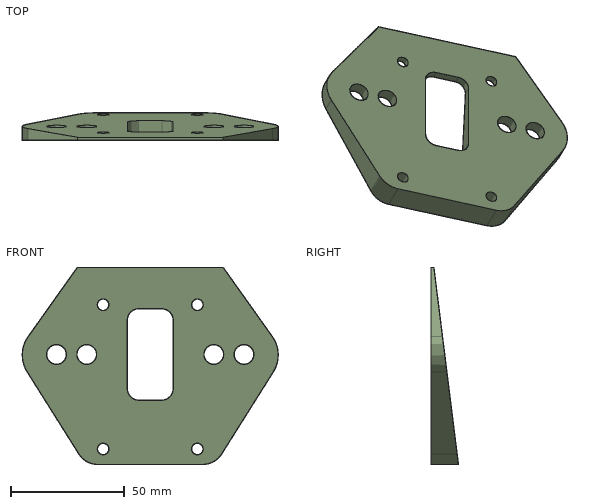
import cadquery as cq
import math

length = 112.6
height = 86.7
base_thickness = 12.2
top_thickness = 1.4

top_half_width = 32.1
side_radius = 14.0
side_center = (length / 2 - side_radius, 48.2)
bottom_radius = 10.0
bottom_center = (23.0, bottom_radius)

window_width = 20.0
window_height = 2 * window_width
window_radius = 5.0
center_height = 48.4
large_diameter = 8.6
large_hole_offsets = (27.9, 41.2)
small_diameter = 5.0
small_hole_offset = 20.7
small_hole_heights = (6.9, 70.3)


def on_circle(center, radius, angle):
    """Point on a circle at the given angle from +X."""
    return (center[0] + radius * math.cos(angle), center[1] + radius * math.sin(angle))


def tangent_normal(start, start_radius, end, end_radius):
    """Outward normal angle of the outer tangent, going clockwise from start to end."""
    dx = end[0] - start[0]
    dz = end[1] - start[1]
    lean = math.asin((start_radius - end_radius) / math.hypot(dx, dz))
    return math.atan2(dz, dx) + math.pi / 2 - lean


def mirrored(point):
    return (-point[0], point[1])


def make_plate():
    """Extrude the wedge section along X and keep what lies inside the outline."""
    top_corner = (top_half_width, height)
    upper_angle = tangent_normal(top_corner, 0, side_center, side_radius)
    lower_angle = tangent_normal(side_center, side_radius, bottom_center, bottom_radius)
    down = -math.pi / 2

    side_start = on_circle(side_center, side_radius, upper_angle)
    side_middle = on_circle(side_center, side_radius, 0)
    side_end = on_circle(side_center, side_radius, lower_angle)
    bottom_start = on_circle(bottom_center, bottom_radius, lower_angle)
    bottom_middle = on_circle(bottom_center, bottom_radius, (lower_angle + down) / 2)
    bottom_end = on_circle(bottom_center, bottom_radius, down)

    outline = (
        cq.Workplane("XZ")
        .moveTo(*mirrored(top_corner))
        .lineTo(*top_corner)
        .lineTo(*side_start)
        .threePointArc(side_middle, side_end)
        .lineTo(*bottom_start)
        .threePointArc(bottom_middle, bottom_end)
        .lineTo(*mirrored(bottom_end))
        .threePointArc(mirrored(bottom_middle), mirrored(bottom_start))
        .lineTo(*mirrored(side_end))
        .threePointArc(mirrored(side_middle), mirrored(side_start))
        .close()
        .extrude(-base_thickness)
    )
    wedge = (
        cq.Workplane("YZ")
        .polyline([(0, 0), (base_thickness, 0), (top_thickness, height), (0, height)])
        .close()
        .extrude(length / 2, both=True)
    )
    return outline.intersect(wedge)


def make_window():
    return (
        cq.Workplane("XZ")
        .center(0, center_height)
        .rect(window_width, window_height)
        .extrude(-base_thickness)
        .edges("|Y")
        .fillet(window_radius)
    )


def make_holes(diameter, points):
    return cq.Workplane("XZ").pushPoints(points).circle(diameter / 2).extrude(-base_thickness)


large_points = [(side * x, center_height) for side in (-1, 1) for x in large_hole_offsets]
small_points = [(side * small_hole_offset, z) for side in (-1, 1) for z in small_hole_heights]

result = (
    make_plate()
    .cut(make_window())
    .cut(make_holes(large_diameter, large_points))
    .cut(make_holes(small_diameter, small_points))
)